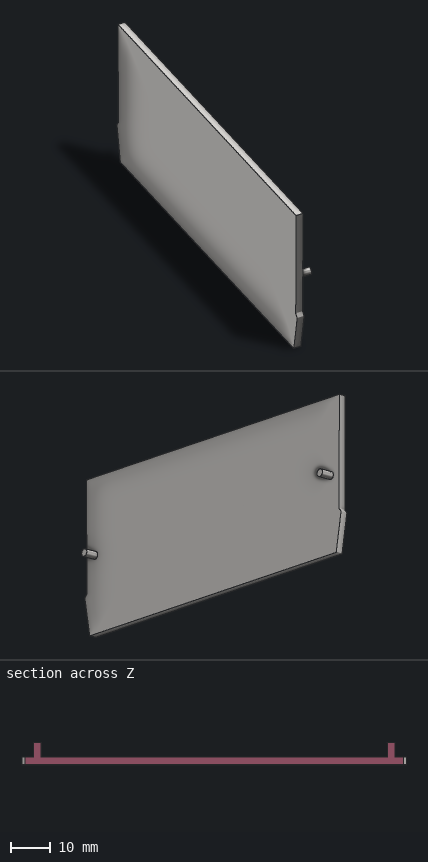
import cadquery as cq
import math

max_width = 97.0
plate_height = 41.6
plate_thickness = 2.0
top_width = 95.7
shoulder_width = 95.4
lug_tip_height = 10.5
lug_slope = math.radians(40)
side_taper = math.radians(10)
corner_radius = 0.2

pin_diameter = 2.0
pin_length = 3.7
pin_spacing = 89.1
pin_height = plate_height / 2

tip_half_turn = (lug_slope + side_taper) / 2
tip_normal_angle = (lug_slope - side_taper) / 2
tip_overshoot = corner_radius * (math.cos(tip_normal_angle) / math.cos(tip_half_turn) - 1)
tip_x = max_width / 2 + tip_overshoot

bottom_x = tip_x - lug_tip_height * math.tan(side_taper)
shoulder_x = shoulder_width / 2
shoulder_height = lug_tip_height + (tip_x - shoulder_x) / math.tan(lug_slope)


def make_plate():
    """Flat plate whose sides widen to a lug and then taper to the lower edge."""
    right_side = [
        (bottom_x, 0),
        (tip_x, lug_tip_height),
        (shoulder_x, shoulder_height),
        (top_width / 2, plate_height),
    ]
    left_side = [(-x, z) for x, z in reversed(right_side)]
    outline = cq.Workplane("XZ").polyline(right_side + left_side).close()
    plate = outline.extrude(plate_thickness)
    return plate.edges("|Y").edges("not >Z").fillet(corner_radius)


def make_pins():
    """Two round pins standing on the back face, starting inside the plate."""
    return (
        cq.Workplane("XZ", origin=(0, -plate_thickness / 2, pin_height))
        .pushPoints([(-pin_spacing / 2, 0), (pin_spacing / 2, 0)])
        .circle(pin_diameter / 2)
        .extrude(-(plate_thickness / 2 + pin_length))
    )


result = make_plate().union(make_pins())